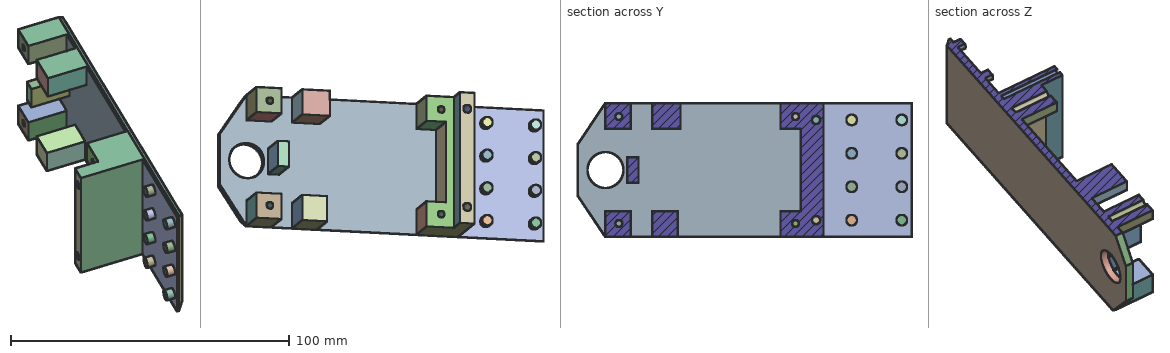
import cadquery as cq

plate_length = 120.0
plate_width = 48.0
plate_thickness = 3.0
nose_length = 9.8
nose_width = 18.6
back_chamfer = 2.2

nose_hole_diameter = 12.8
nose_hole_x = 10.0

post_height = 15.0
post_width = 9.2
front_post_x = nose_length
middle_post_x = 26.8
upper_middle_post_length = 10.2
stop_x = 17.8
stop_length = 4.1

bridge_x = 72.8
bridge_wall_x = 80.0
rail_x = 82.9
rail_length = 5.4
rail_height = 24.0

post_hole_diameter = 2.4
post_hole_xs = (14.8, 78.2)
post_hole_z = 19.2
rail_hole_diameter = 2.9
rail_hole_x = rail_x + rail_length / 2
rail_hole_z = 18.0

pin_diameter = 3.8
pin_height = 3.0
pin_pitch = 12.0
pin_column_spacing = 18.0
pin_first_x = 98.4
pin_rows = 4
pin_columns = 2

half_width = plate_width / 2

root_depth = (plate_thickness - back_chamfer) / 2


def block(x, length, z_low, z_high, height):
    """Block standing forward on the plate, rooted in the band ahead of the back chamfer."""
    return cq.Workplane("XY").box(
        length, height + root_depth, z_high - z_low, centered=False
    ).translate((x, -height, z_low))


def forward_cylinder(x, z, diameter, start_y, length):
    """Cylinder that starts at start_y and runs toward -Y."""
    return cq.Workplane("XZ", origin=(x, start_y, z)).circle(diameter / 2).extrude(length)


def make_plate():
    """Plate with a tapered nose and chamfered back edges on the three straight sides."""
    outline = [
        (0, -nose_width / 2),
        (nose_length, -half_width),
        (plate_length, -half_width),
        (plate_length, half_width),
        (nose_length, half_width),
        (0, nose_width / 2),
    ]
    plate = cq.Workplane("XZ").polyline(outline).close().extrude(-plate_thickness)
    straight_sides = plate.faces(">X or >Z or <Z").edges(">Y")
    return straight_sides.chamfer(back_chamfer)


def make_blocks():
    """Corner posts, middle posts, centre stop, bridge and tall rail."""
    upper_low = half_width - post_width
    lower_high = -upper_low
    bridge_post_length = rail_x - bridge_x
    return [
        block(front_post_x, post_width, upper_low, half_width, post_height),
        block(front_post_x, post_width, -half_width, lower_high, post_height),
        block(middle_post_x, upper_middle_post_length, upper_low, half_width, post_height),
        block(middle_post_x, post_width, -half_width, lower_high, post_height),
        block(stop_x, stop_length, -post_width / 2, post_width / 2, post_height),
        block(bridge_x, bridge_post_length, upper_low, half_width, post_height),
        block(bridge_x, bridge_post_length, -half_width, lower_high, post_height),
        block(bridge_wall_x, rail_x - bridge_wall_x, lower_high, upper_low, post_height),
        block(rail_x, rail_length, -half_width, half_width, rail_height),
    ]


result = make_plate()
for added_block in make_blocks():
    result = result.union(added_block)

for column in range(pin_columns):
    for row in range(pin_rows):
        pin_x = pin_first_x + column * pin_column_spacing
        pin_z = (row - (pin_rows - 1) / 2) * pin_pitch
        result = result.union(
            forward_cylinder(pin_x, pin_z, pin_diameter, root_depth, pin_height + root_depth)
        )

result = result.cut(
    forward_cylinder(nose_hole_x, 0, nose_hole_diameter, plate_thickness, plate_thickness)
)

for side in (-1, 1):
    for hole_x in post_hole_xs:
        result = result.cut(
            forward_cylinder(hole_x, side * post_hole_z, post_hole_diameter, 0, post_height)
        )
    result = result.cut(
        forward_cylinder(rail_hole_x, side * rail_hole_z, rail_hole_diameter, 0, rail_height)
    )